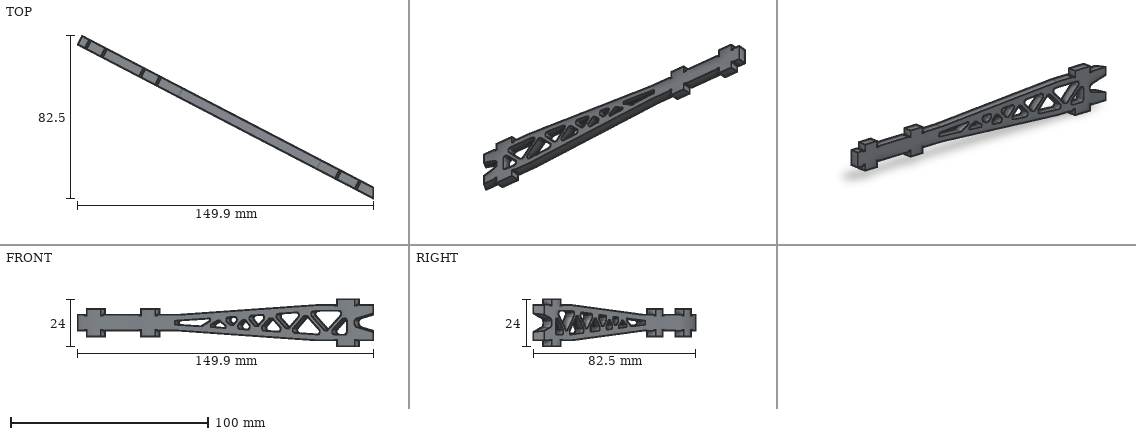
import cadquery as cq
import math

TILT = 27.5
THICKNESS = 5.0
SPAN = 149.9
LENGTH = SPAN / math.cos(math.radians(TILT))

SHANK_HALF = 4.0
HEAD_HALF = 9.0
TAPER_START = 57.3
TAPER_END = 136.4

TAB_HEIGHT = 3.0
SHANK_TAB_WIDTH = 8.1
HEAD_TAB_WIDTH = 10.2
TABS = [
    (5.1, SHANK_TAB_WIDTH, SHANK_HALF),
    (36.1, SHANK_TAB_WIDTH, SHANK_HALF),
    (148.1, HEAD_TAB_WIDTH, HEAD_HALF),
]
RELIEF_WIDTH = 1.0
RELIEF_DEPTH = 0.5

CHORD = 3.0
WINDOW_START = 55.5
WINDOW_END = 153.8
STRUT_WIDTH = 2.0
STRUT_NODES = [72.2, 80.5, 88.3, 94.9, 102.1, 110.3, 119.8, 130.1, 141.8, 154.1]
SMALL_OPENINGS = 2
SMALL_CORNER_RADIUS = 0.7
CORNER_RADIUS = 1.5

MOUTH_DEPTH = 11.0
MOUTH_RADIUS = 2.4
MOUTH_FLARE = 15.0

OVERRUN = 7.5


def arm_half(x):
    """Half height of the arm, without tabs, at distance x from the butt end."""
    along = (x - TAPER_START) / (TAPER_END - TAPER_START)
    along = min(max(along, 0.0), 1.0)
    return SHANK_HALF + along * (HEAD_HALF - SHANK_HALF)


def mirrored_plate(upper):
    """Plate whose upper edge is given from butt to tip; the lower edge mirrors it."""
    lower = [(x, -y) for x, y in reversed(upper)]
    return cq.Workplane("XY").polyline(upper + lower).close().extrude(THICKNESS)


def block(x_start, width, y_low, height):
    corner = cq.Workplane("XY").center(x_start, y_low)
    return corner.rect(width, height, centered=False).extrude(THICKNESS)


def arm_plate():
    corners = [0.0, TAPER_START, TAPER_END, LENGTH + OVERRUN]
    return mirrored_plate([(x, arm_half(x)) for x in corners])


def with_tabs(arm):
    for start, width, half in TABS:
        tab_half = half + TAB_HEIGHT
        arm = arm.union(block(start, width, -tab_half, 2 * tab_half))
        for relief_start in (start - RELIEF_WIDTH, start + width):
            for low in (half - RELIEF_DEPTH, -half):
                arm = arm.cut(block(relief_start, RELIEF_WIDTH, low, RELIEF_DEPTH))
    return arm


def strut(start, end):
    """Bar centred on the line between two nodes, running on past both."""
    run = end[0] - start[0]
    rise = end[1] - start[1]
    length = math.hypot(run, rise) + 2 * OVERRUN
    bar = cq.Workplane("XY").rect(length, STRUT_WIDTH).extrude(THICKNESS)
    bar = bar.rotate((0, 0, 0), (0, 0, 1), math.degrees(math.atan2(rise, run)))
    return bar.translate((start[0] + run / 2, start[1] + rise / 2, 0))


def window_edge(x, side):
    """Point on the upper (side 1) or lower (side -1) edge of the truss window."""
    return (x, side * (arm_half(x) - CHORD))


def opening(corners, struts, radius):
    """Round-cornered through opening: a polygon less the struts along its sides."""
    cell = cq.Workplane("XY").polyline(corners).close().extrude(THICKNESS)
    for start, end in struts:
        cell = cell.cut(strut(start, end))
    return cell.edges("|Z").fillet(radius)


def truss_openings():
    """All openings between the zigzag struts, from the butt side to the tip side."""
    sides = [1 if index % 2 else -1 for index in range(len(STRUT_NODES))]
    nodes = [window_edge(x, side) for x, side in zip(STRUT_NODES, sides)]
    first, second = nodes[:2]
    start_corners = [window_edge(WINDOW_START, 1), window_edge(WINDOW_START, -1)]
    openings = [opening(start_corners + [first, second], [(first, second)], SMALL_CORNER_RADIUS)]

    for left, apex, right, side in zip(nodes, nodes[1:], nodes[2:], sides):
        corners = [apex, left, right]
        if left[0] < TAPER_END < right[0]:
            corners.insert(2, window_edge(TAPER_END, side))
        radius = SMALL_CORNER_RADIUS if len(openings) < SMALL_OPENINGS else CORNER_RADIUS
        openings.append(opening(corners, [(left, apex), (apex, right)], radius))

    before_last, last = nodes[-2:]
    end_corners = [window_edge(WINDOW_END, sides[-2]), window_edge(WINDOW_END, sides[-1])]
    corners = [before_last] + end_corners
    openings.append(opening(corners, [(before_last, last)], CORNER_RADIUS))
    return openings


def tip_mouth():
    flare = math.radians(MOUTH_FLARE)
    centre = LENGTH - MOUTH_DEPTH + MOUTH_RADIUS
    tangent_x = centre - MOUTH_RADIUS * math.sin(flare)
    tangent_y = MOUTH_RADIUS * math.cos(flare)
    open_x = LENGTH + OVERRUN
    open_y = tangent_y + (open_x - tangent_x) * math.tan(flare)
    return (
        cq.Workplane("XY")
        .moveTo(open_x, open_y)
        .lineTo(tangent_x, tangent_y)
        .threePointArc((centre - MOUTH_RADIUS, 0), (tangent_x, -tangent_y))
        .lineTo(open_x, -open_y)
        .close()
        .extrude(THICKNESS)
    )


def stand_up(flat):
    """Turn the flat profile upright, with its thickness toward +Y, then swing it about Z."""
    upright = flat.rotate((0, 0, 0), (1, 0, 0), 90).translate((0, THICKNESS, 0))
    return upright.rotate((0, 0, 0), (0, 0, 1), -TILT)


def tip_trim():
    """Block beyond the span that leaves the tip square to the X axis."""
    size = 4 * HEAD_HALF
    trim = cq.Workplane("XY").box(size, size, size, centered=(False, True, True))
    return trim.translate((SPAN, -LENGTH * math.sin(math.radians(TILT)), 0))


profile = with_tabs(arm_plate()).cut(tip_mouth())
for truss_opening in truss_openings():
    profile = profile.cut(truss_opening)
result = stand_up(profile).cut(tip_trim())